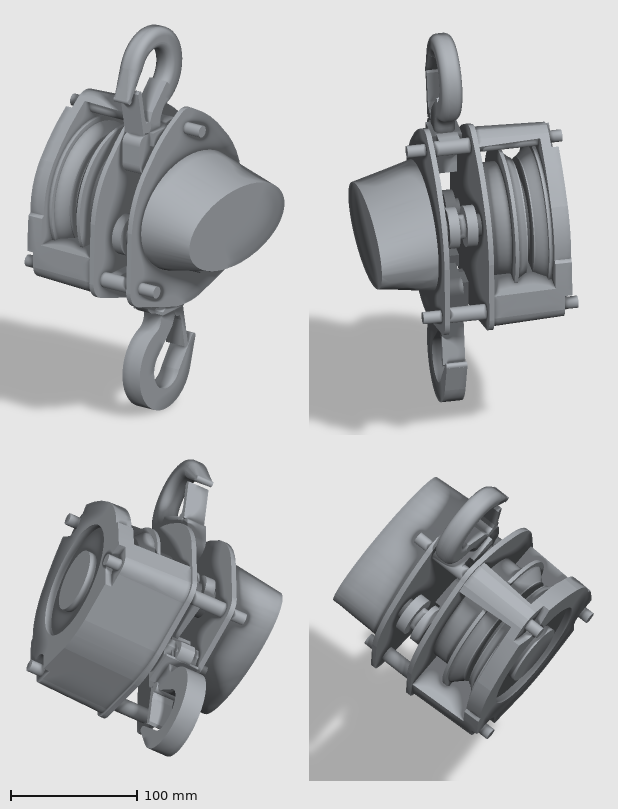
import cadquery as cq
import math


pin_end = 125.0
cover_face = 6.0
window_start = 19.7
plate_thickness = 4.2
inner_plate_x = 70.0
gap_start = inner_plate_x + plate_thickness
gap_end = 106.0
outer_plate_x = gap_end
gap_center = (gap_start + gap_end) / 2
motor_start = 113.0
motor_end = 158.7

top_pin = (0, 72.7)
low_pin_y, low_pin_z = 62.0, -44.3
low_pin = (low_pin_y, low_pin_z)
far_low_pin = (-low_pin_y, low_pin_z)
pin_radius = 5.0
spacer_radius = 6.0

overall_width = 154.2
half_width = overall_width / 2
plate_top_radius = 16.5
plate_corner_radius = half_width - low_pin_y
plate_bottom_z = -75.0

cover_draft = 2.2
cover_top_z, cover_bottom_z = 83.7, -69.2
window_floor_z = -24.2
window_roof_z = 79.5
pin_recess_radius = 12.3
pin_recess_depth = 5.8
pin_recess_reach = 26.0
hub_recess_radius = 47.5
hub_recess_depth = 5.8
hub_radius = 25.2

flange_radius = 61.7
flange_thickness = 3.0
groove_start, groove_end = 32.3, 37.2
groove_lip = 1.0
groove_edge_radius = 33.5
groove_bottom_radius = 32.3
cone_outer_radius = 57.5
cone_inner_radius = 49.5
drum_hub_radius = 48.0

rollers = [(39.8, 22.5), (-41.7, -10.7)]
roller_width = 23.0
roller_flange = 8.5
roller_flange_radius = 16.5
roller_core_radius = 9.7
roller_hub_radius = 9.0

motor_base_z, motor_base_radii = 4.0, (66.5, 47.0)
motor_end_z, motor_end_radii = -0.3, (65.0, 32.0)
motor_stud_radius = 4.0

hook_turn_y, hook_turn_z = -17.0, -1.5
hook_reach = 161.5
hook_width = 16.8
hook_rounding = 5.8
bend_radius = 35.2
shank_inner_end = (-3.5, -96.0)
shank_inner_y = 1.3
shank_top_z = -77.5
shank_outer_y = -18.7
neck_radius = 10.7
bend_center = (-13.0, hook_turn_z - hook_reach + bend_radius)
throat_radius = 17.8
throat_center = (-10.7, -128.5)
throat_start_angle = 135
tip_root_inner_angle = -24.7
tip_root_outer_angle = -17.4
tip_end_inner = (23.3, -112.2)
tip_end_outer = (27.8, -114.5)
tip_center = (25.5, -113.5)
tip_end_rounding = 1.5
tip_radius = 2.42
tip_width_rounded = 14.2
latch_pivot = (3.5, -85.5)
latch_pivot_radius = 4.5
latch_width = 18.0
shank_block_rounding = 7.0
shank_block_end_rounding = 9.7
shank_block_y = (-22.5, 14.0)
shank_block_z = (-79.0, -46.0)

lower_yoke_width = 28.8
lower_yoke_front_y, lower_yoke_back_y = -25.0, 3.5
lower_yoke_low_z, lower_yoke_shoulder_z, lower_yoke_top_z = -79.5, -56.2, -51.0
upper_yoke_width = 24.5
upper_yoke_y = (-35.2, -12.3)
upper_yoke_z = (66.0, 77.0)
arm_half_height = 5.2
lug_width = 12.5
lug_root_y, lug_tip_y = -19.5, -34.3
lug_low_z = -79.2
lug_hole_center = (-28.8, -71.5)
lug_hole_radius = 2.0
chain_groove_center = (-26.8, -71.0)
chain_groove_radius = 6.0


def along_x(x):
    """Sketch plane facing +X at the given X, with sketch axes Y and Z."""
    return cq.Workplane("YZ", origin=(x, 0, 0))


def rod(center, radius, x_start, x_end):
    """Cylinder along X about a (Y, Z) center."""
    return along_x(x_start).center(*center).circle(radius).extrude(x_end - x_start)


def block(x_range, y_range, z_range):
    """Box spanning the given ranges."""
    (x0, x1), (y0, y1), (z0, z1) = x_range, y_range, z_range
    return cq.Workplane("XY").box(x1 - x0, y1 - y0, z1 - z0, centered=False).translate((x0, y0, z0))


def centered_range(width):
    """X range of the given width, centered between the side plates."""
    return (gap_center - width / 2, gap_center + width / 2)


def on_circle(center, radius, degrees):
    """(Y, Z) point on a circle, its angle measured from +Y towards +Z."""
    angle = math.radians(degrees)
    return (center[0] + radius * math.cos(angle), center[1] + radius * math.sin(angle))


def mirrored_outline(plane, start, segments):
    """Close an outline symmetric about Y = 0.

    The +Y half runs from the top `start` to the bottom; each segment is an end point
    and, for an arc, the point it passes through (None for a straight line).
    """
    outline = plane.moveTo(*start)
    corners = [start] + [end for _, end in segments]
    for through, end in segments:
        outline = outline.threePointArc(through, end) if through else outline.lineTo(*end)
    for (through, _), (y, z) in zip(reversed(segments), reversed(corners[:-1])):
        mirrored_end = (-y, z)
        if through:
            outline = outline.threePointArc((-through[0], through[1]), mirrored_end)
        else:
            outline = outline.lineTo(*mirrored_end)
    return outline.close()


def side_plate(x):
    """Shield-shaped plate, rounded about all three pins."""
    segments = [
        (on_circle(top_pin, plate_top_radius, 72), on_circle(top_pin, plate_top_radius, 54)),
        ((30.7, 73.7), (50.5, 55.5)),
        ((68.0, 32.0), (75.3, 5.8)),
        (None, (half_width, low_pin_z)),
        (on_circle(low_pin, plate_corner_radius, -36), on_circle(low_pin, plate_corner_radius, -72)),
        (None, (17.8, -73.0)),
        ((9.0, -74.7), (0, plate_bottom_z)),
    ]
    start = (0, top_pin[1] + plate_top_radius)
    return mirrored_outline(along_x(x), start, segments).extrude(plate_thickness)


def pin_recess(center, turn):
    """Pocket around a pin, open to the cover rim; its rounded corner points 135 degrees + turn."""
    side = pin_recess_radius + pin_recess_reach
    middle = (pin_recess_reach - pin_recess_radius) / 2
    pocket = along_x(cover_face).center(middle, -middle).rect(side, side).extrude(pin_recess_depth)
    pocket = pocket.edges("|X and <Y and >Z").fillet(pin_recess_radius)
    return pocket.rotate((0, 0, 0), (1, 0, 0), turn).translate((0, *center))


def cover():
    """Drafted drum cover with an open window, pockets around the pins and a ring recess."""
    segments = [
        ((4.5, 83.0), (8.7, 81.5)),
        (None, (19.0, 74.0)),
        ((37.2, 59.0), (54.3, 40.0)),
        ((63.7, 22.5), (67.5, -0.5)),
        (None, (70.0, -2.5)),
        ((71.5, -22.5), (71.8, low_pin_z)),
        ((69.2, -50.8), (61.5, -54.5)),
        (None, (16.5, -67.5)),
        ((8.5, -69.0), (0, cover_bottom_z)),
    ]
    outline = mirrored_outline(along_x(cover_face), (0, cover_top_z), segments)
    body = outline.extrude(inner_plate_x - cover_face, taper=-cover_draft)
    window = block((window_start, inner_plate_x), (-half_width, half_width), (window_floor_z, window_roof_z))
    hub_recess = along_x(cover_face).circle(hub_recess_radius).circle(hub_radius).extrude(hub_recess_depth)
    body = body.cut(window).cut(hub_recess)
    for center, turn in ((top_pin, 135), (low_pin, 0), (far_low_pin, -90)):
        body = body.cut(pin_recess(center, turn))
    return body


def drum():
    """Two flanges with conical inner faces around a narrow rope groove, and a hub up to the plate."""
    near_x = window_start + flange_thickness
    far_x = groove_start + groove_end - near_x
    profile = [
        (window_start, 0),
        (window_start, flange_radius),
        (near_x, flange_radius),
        (near_x, cone_outer_radius),
        (groove_start - groove_lip, cone_inner_radius),
        (groove_start, cone_inner_radius),
        (groove_start, groove_edge_radius),
        ((groove_start + groove_end) / 2, groove_bottom_radius),
        (groove_end, groove_edge_radius),
        (groove_end, cone_inner_radius),
        (groove_end + groove_lip, cone_inner_radius),
        (far_x, cone_outer_radius),
        (far_x, flange_radius),
        (far_x + flange_thickness, flange_radius),
        (far_x + flange_thickness, drum_hub_radius),
        (inner_plate_x, drum_hub_radius),
        (inner_plate_x, 0),
    ]
    return cq.Workplane("XY").polyline(profile).close().revolve(360, (0, 0, 0), (1, 0, 0))


def guide_roller(center):
    """Two flanges on a stepped hub spanning the gap between the side plates."""
    roller = rod(center, roller_hub_radius, gap_start, gap_end)
    roller = roller.union(rod(center, roller_core_radius, *centered_range(roller_width)))
    for x in (gap_center - roller_width / 2, gap_center + roller_width / 2 - roller_flange):
        roller = roller.union(rod(center, roller_flange_radius, x, x + roller_flange))
    return roller


def motor():
    """Tapered oval housing, held clear of the outer plate by a stud under its lower edge."""
    base = along_x(motor_start).center(0, motor_base_z).ellipse(*motor_base_radii)
    end = base.workplane(offset=motor_end - motor_start).center(0, motor_end_z - motor_base_z)
    housing = end.ellipse(*motor_end_radii).loft(ruled=True)
    stud_center = (0, motor_base_z - motor_base_radii[1])
    return housing.union(rod(stud_center, motor_stud_radius, outer_plate_x, pin_end))


def hook_bend():
    """Flat lower hook from its shank to the root of its point."""
    tip_root_inner = on_circle(throat_center, throat_radius, tip_root_inner_angle)
    tip_root_outer = on_circle(bend_center, bend_radius, tip_root_outer_angle)
    neck_y = shank_outer_y - neck_radius
    neck_rise = math.sqrt((bend_radius + neck_radius) ** 2 - (neck_y - bend_center[0]) ** 2)
    neck_center = (neck_y, bend_center[1] + neck_rise)
    neck_angle = math.degrees(math.atan2(neck_rise, neck_y - bend_center[0]))
    bend_lowest = on_circle(bend_center, bend_radius, -90)
    neck_start = on_circle(bend_center, bend_radius, neck_angle)
    neck_middle = on_circle(neck_center, neck_radius, neck_angle / 2 - 90)
    return (
        along_x(gap_center - hook_width / 2)
        .moveTo(shank_inner_y, shank_top_z)
        .lineTo(shank_inner_y, latch_pivot[1])
        .lineTo(*shank_inner_end)
        .lineTo(*on_circle(throat_center, throat_radius, throat_start_angle))
        .threePointArc(on_circle(throat_center, throat_radius, 225), tip_root_inner)
        .lineTo(*tip_root_outer)
        .threePointArc(bend_lowest, neck_start)
        .threePointArc(neck_middle, (shank_outer_y, neck_center[1]))
        .lineTo(shank_outer_y, shank_top_z)
        .close()
        .extrude(hook_width)
    )


def flat_shank():
    """Shank with square edges on its latch side, between the throat and the shank block."""
    throat_end = on_circle(throat_center, throat_radius, throat_start_angle)
    throat_flat = on_circle(throat_center, throat_radius + hook_rounding, throat_start_angle)
    flat_y = shank_outer_y + hook_rounding
    outline = [throat_end, shank_inner_end, (shank_inner_y, latch_pivot[1]), (shank_inner_y, shank_top_z)]
    outline += [(flat_y, shank_top_z), (flat_y, latch_pivot[1]), throat_flat]
    return along_x(gap_center - hook_width / 2).polyline(outline).close().extrude(hook_width)


def section_sketch(length, width, rounding):
    """Rectangle across the hook, its corners rounded unless the rounding is zero."""
    sketch = cq.Sketch().rect(width, length)
    return sketch.vertices().fillet(rounding) if rounding else sketch


def hook_point(end_width, rounding, end_rounding):
    """Tapered point of the lower hook with a round end."""
    tip_root_inner = on_circle(throat_center, throat_radius, tip_root_inner_angle)
    tip_root_outer = on_circle(bend_center, bend_radius, tip_root_outer_angle)
    sections = []
    for inner, outer, width, radius in (
        (tip_root_inner, tip_root_outer, hook_width, rounding),
        (tip_end_inner, tip_end_outer, end_width, end_rounding),
    ):
        across = cq.Vector(0, outer[0] - inner[0], outer[1] - inner[1])
        center = cq.Vector(gap_center, (inner[0] + outer[0]) / 2, (inner[1] + outer[1]) / 2)
        plane = cq.Plane(center, xDir=(1, 0, 0), normal=cq.Vector(1, 0, 0).cross(across))
        sections.append(section_sketch(across.Length, width, radius).moved(plane.location))
    taper = cq.Workplane("XY").placeSketch(*sections).loft(ruled=True)
    return taper.union(rod(tip_center, tip_radius, *centered_range(end_width)))


def latch():
    """Spring latch of the lower hook, swinging on its pivot."""
    start, end = centered_range(latch_width)
    outline = [(9.5, -79.5), (16.8, -117.0), (15.0, -119.3), (12.3, -118.3), (7.8, -94.5), latch_pivot]
    bar = along_x(start).polyline(outline).close().extrude(end - start)
    return bar.union(rod(latch_pivot, latch_pivot_radius, start, end))


def shank_block():
    """Block around the lower hook's shank, its edges rounded on the latch side."""
    body = block(centered_range(hook_width), shank_block_y, shank_block_z)
    body = body.edges("|X and >Y and <Z").fillet(shank_block_rounding)
    return body.edges("|X and >Y and >Z").fillet(shank_block_end_rounding)


def lower_hook():
    """Hook with square edges."""
    hook = hook_bend().union(hook_point(hook_width, 0, 0))
    return hook.union(latch()).union(shank_block())


def upper_hook():
    """Turned copy of the hook with its bend and point rounded."""
    bend = hook_bend().edges("%CIRCLE").fillet(hook_rounding)
    bend = bend.union(flat_shank())
    hook = bend.union(hook_point(tip_width_rounded, hook_rounding, tip_end_rounding))
    hook = hook.union(latch()).union(shank_block())
    return hook.rotate((0, hook_turn_y, hook_turn_z), (1, hook_turn_y, hook_turn_z), 180)


def upper_yoke():
    """Cross block through the upper shank, and the eye that hangs it on the top spacer."""
    yoke = block(centered_range(upper_yoke_width), upper_yoke_y, upper_yoke_z)
    eye_z = (top_pin[1] - spacer_radius, top_pin[1] + spacer_radius)
    return yoke.union(block(centered_range(hook_width), (upper_yoke_y[1], top_pin[0]), eye_z))


def lower_yoke():
    """Cross block on the lower shank, with a chain lug and an arm to a bottom spacer."""
    start, end = centered_range(lower_yoke_width)
    outline = [
        (lower_yoke_back_y, lower_yoke_low_z),
        (lower_yoke_back_y, lower_yoke_top_z),
        (-13.0, lower_yoke_top_z),
        (-21.0, -53.0),
        (lower_yoke_front_y, lower_yoke_shoulder_z),
        (lower_yoke_front_y, lower_yoke_low_z),
    ]
    yoke = along_x(start).polyline(outline).close().extrude(end - start)
    yoke = yoke.cut(rod(chain_groove_center, chain_groove_radius, start, end))
    lug_start, lug_end = centered_range(lug_width)
    lug = (
        along_x(lug_start)
        .moveTo(lug_root_y, lower_yoke_shoulder_z)
        .lineTo(lower_yoke_front_y, lower_yoke_shoulder_z)
        .lineTo(lug_tip_y, -67.2)
        .lineTo(lug_tip_y, -73.0)
        .threePointArc((-31.5, -77.0), (lower_yoke_front_y, lug_low_z))
        .lineTo(lug_root_y, lug_low_z)
        .close()
        .extrude(lug_end - lug_start)
        .cut(rod(lug_hole_center, lug_hole_radius, lug_start, lug_end))
    )
    arm_x = (gap_center - roller_width / 2, gap_center - roller_width / 2 + roller_flange)
    arm_z = (low_pin_z - arm_half_height, low_pin_z + arm_half_height)
    arm = block(arm_x, (-low_pin_y, lug_root_y), arm_z)
    return yoke.union(lug).union(arm)


parts = [cover(), drum(), motor(), upper_hook(), upper_yoke(), lower_hook(), lower_yoke()]
parts += [side_plate(x) for x in (inner_plate_x, outer_plate_x)]
parts += [guide_roller(center) for center in rollers]
parts += [rod(center, pin_radius, 0, pin_end) for center in (top_pin, low_pin, far_low_pin)]
parts.append(rod(top_pin, spacer_radius, window_start, gap_end))
parts += [rod(center, spacer_radius, gap_start, gap_end) for center in (low_pin, far_low_pin)]

result = parts[0]
for part in parts[1:]:
    result = result.union(part)